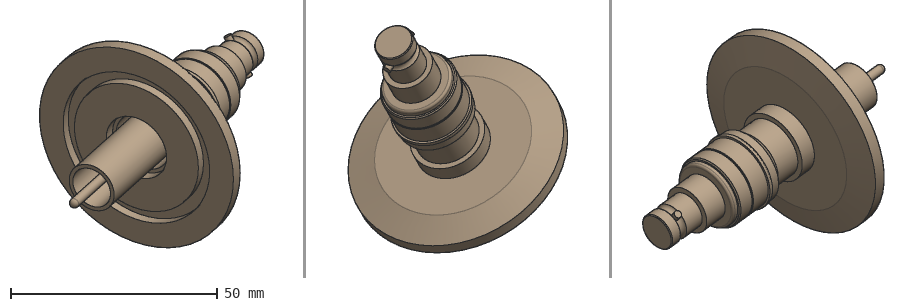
import cadquery as cq


flange_radius = 27.5
flange_rim_width = 3.2
flange_thickness = 5.3
flange_back_radius = 20.0
groove_outer_radius = 20.75
groove_inner_radius = 17.55
groove_depth = 2.4
flange_bore_radius = 8.5

collar_radius = 9.5
collar_start = 2.95
collar_end = 9.8
sleeve_radius = 16.2 / 2
sleeve_bore_radius = 7.55
sleeve_end = 16.9

housing_radius = 9.8
housing_base_radius = 10.0
housing_cone_end = 18.9
ring_start = 21.4
ring_end = 22.4
ring_radius = 10.3
seam_start = 27.7
seam_end = 28.05
seam_depth = 0.2
housing_end = 32.6
housing_chamfer = 0.3
cap_radius = 18.0 / 2
cap_end = 34.2
cap_fillet = 0.65
neck_radius = 12.7 / 2
neck_end = 40.85

socket_radius = 9.8 / 2
overall_length = 82.0
pin_length = 30.2
socket_end = overall_length - pin_length
socket_chamfer = 0.25
socket_groove_start = 46.5
socket_groove_end = 48.7
socket_groove_middle = (socket_groove_start + socket_groove_end) / 2
socket_groove_depth = 0.65
stud_radius = 1.0
stud_reach = 5.75
stud_tilt = 32.0

tube_radius = neck_radius
tube_bore_radius = 5.3
tube_end = -20.9
root_radius = 6.8
root_length = 0.8
seat_depth = 0.8
insulator_radius = 3.8
insulator_fillet = 0.3
nose_length = 0.65
pin_radius = 1.2


def revolve_about_y(profile):
    """Turn a closed (radius, station) profile about the Y axis."""
    return profile.close().revolve(360, (0, 0, 0), (0, 1, 0))


def make_cylinder(radius, start, end):
    """Solid cylinder along Y between two stations."""
    return cq.Workplane("XZ", origin=(0, start, 0)).circle(radius).extrude(start - end)


def make_ring(outer_radius, inner_radius, start, end):
    """Hollow cylinder along Y between two stations."""
    return make_cylinder(outer_radius, start, end).cut(make_cylinder(inner_radius, start, end))


def make_flange():
    """Clamp flange with tapered back, centring-ring groove, bore and rear socket for the collar."""
    disc = revolve_about_y(
        cq.Workplane("XY")
        .moveTo(flange_bore_radius, 0)
        .lineTo(flange_radius, 0)
        .lineTo(flange_radius, flange_rim_width)
        .lineTo(flange_back_radius, flange_thickness)
        .lineTo(collar_radius, flange_thickness)
        .lineTo(collar_radius, collar_start)
        .lineTo(flange_bore_radius, collar_start)
    )
    return disc.cut(make_ring(groove_outer_radius, groove_inner_radius, 0, groove_depth))


def make_shell():
    """Collar, sleeve, housing, cap, neck and socket as one turned blank."""
    return revolve_about_y(
        cq.Workplane("XY")
        .moveTo(0, sleeve_end)
        .lineTo(sleeve_bore_radius, sleeve_end)
        .lineTo(sleeve_bore_radius, collar_start)
        .lineTo(collar_radius, collar_start)
        .lineTo(collar_radius, collar_end)
        .lineTo(sleeve_radius, collar_end)
        .lineTo(sleeve_radius, sleeve_end)
        .lineTo(housing_base_radius, housing_cone_end)
        .lineTo(housing_base_radius, ring_start)
        .lineTo(ring_radius, ring_start)
        .lineTo(ring_radius, ring_end)
        .lineTo(housing_radius, ring_end)
        .lineTo(housing_radius, housing_end - housing_chamfer)
        .lineTo(housing_radius - housing_chamfer, housing_end)
        .lineTo(cap_radius, housing_end)
        .lineTo(cap_radius, cap_end - cap_fillet)
        .radiusArc((cap_radius - cap_fillet, cap_end), -cap_fillet)
        .lineTo(neck_radius, cap_end)
        .lineTo(neck_radius, neck_end)
        .lineTo(socket_radius, neck_end)
        .lineTo(socket_radius, socket_groove_start)
        .threePointArc(
            (socket_radius - socket_groove_depth, socket_groove_middle),
            (socket_radius, socket_groove_end),
        )
        .lineTo(socket_radius, socket_end - socket_chamfer)
        .lineTo(socket_radius - socket_chamfer, socket_end)
        .lineTo(0, socket_end)
    )


def make_studs():
    """Bayonet studs: one cross pin through the groove, leaning toward -X at the top."""
    return (
        cq.Workplane("XY", origin=(0, socket_groove_middle, 0))
        .circle(stud_radius)
        .extrude(stud_reach, both=True)
        .rotate((0, socket_groove_middle, 0), (0, socket_groove_middle + 0.8, 0), -stud_tilt)
    )


def make_tube():
    """Tube on a short thicker root, its bore closed by a conical seat."""
    return revolve_about_y(
        cq.Workplane("XY")
        .moveTo(tube_bore_radius, tube_end)
        .lineTo(tube_radius, tube_end)
        .lineTo(tube_radius, sleeve_end - root_length)
        .lineTo(root_radius, sleeve_end - root_length)
        .lineTo(root_radius, sleeve_end)
        .lineTo(insulator_radius, sleeve_end)
        .lineTo(tube_bore_radius, sleeve_end - seat_depth)
    )


def make_insulator():
    """Insulator nose with a rounded front edge."""
    nose = make_cylinder(insulator_radius, sleeve_end - nose_length, sleeve_end)
    return nose.faces("<Y").edges().fillet(insulator_fillet)


def make_pin():
    """Centre conductor with a hemispherical tip."""
    pin_tip = -pin_length
    return revolve_about_y(
        cq.Workplane("XY")
        .moveTo(0, pin_tip)
        .radiusArc((pin_radius, pin_tip + pin_radius), -pin_radius)
        .lineTo(pin_radius, sleeve_end)
        .lineTo(0, sleeve_end)
    )


def make_feedthrough():
    """Connector, collar, tube, insulator and centre conductor joined as one body."""
    seam = make_ring(housing_radius, housing_radius - seam_depth, seam_start, seam_end)
    shell = make_shell().cut(seam)
    return shell.union(make_studs()).union(make_tube()).union(make_insulator()).union(make_pin())


flange = make_flange()
feedthrough = make_feedthrough()

result = cq.Compound.makeCompound([flange.val(), feedthrough.val()])